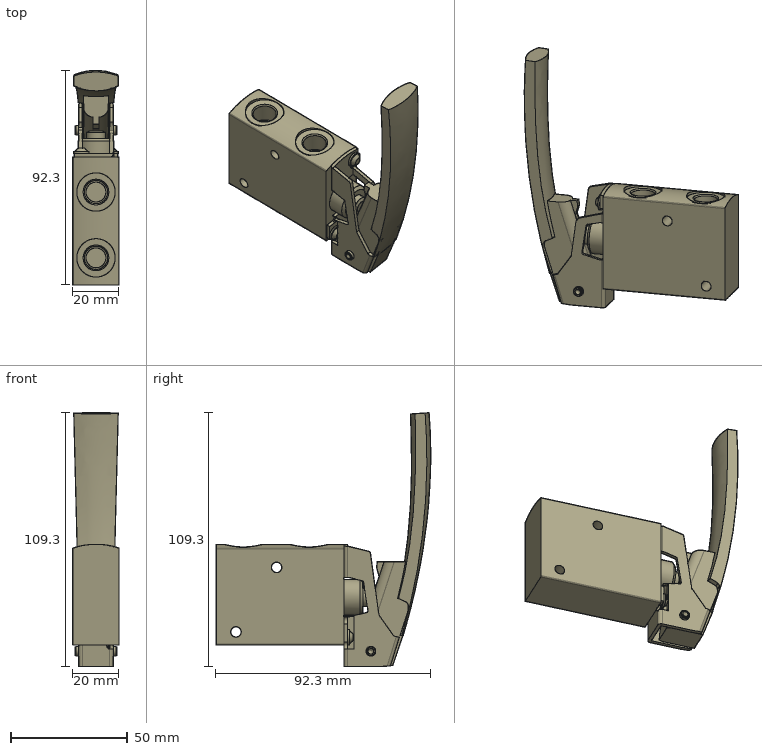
import cadquery as cq

BLOCK_WIDTH = 20.0
BLOCK_LENGTH = 55.0
BLOCK_HEIGHT = 43.4
BLOCK_CROWN = 1.6
BLOCK_EDGE_RADIUS = 0.4
MOUNT_HOLE_DIAMETER = 4.4
MOUNT_HOLE_PLACES = [(-29.0, 33.5), (-46.5, 5.7)]
PORT_PLACES = [-15.0, -43.3]
PORT_MOUTH_DIAMETER = 11.0
PORT_DIAMETER = 10.0
PORT_DEPTH = 8.7
PORT_DRILL_DIAMETER = 8.5
PORT_DRILL_DEPTH = 13.1
SPOTFACE_DIAMETER = 16.5
SPOTFACE_DEPTH = 1.3

PLUNGER_Z = 20.5
BUSH_DIAMETER = 15.5
BUSH_LENGTH = 8.1
BUSH_CHAMFER = 1.2
PLUNGER_DIAMETER = 8.0
PLUNGER_TIP_DIAMETER = 5.1
PLUNGER_TIP_Y = 11.4
PLUNGER_TIP_LENGTH = 0.7

SHEET = 1.5
BRACKET_WIDTH = 14.9
BRACKET_BOTTOM = -9.3
EAR_HALF_WIDTH = 9.4
RELIEF_WIDTH = 3.1
RELIEF_INNER_X = 4.6
UPPER_RELIEF_BOTTOM = 33.0
LOWER_RELIEF_BOTTOM = -1.6
FLANGE_CORNER_RADIUS = 1.3
FLANGE_REAR_RADIUS = 1.3
WINDOW_TOP = 29.1
WINDOW_BOTTOM = 12.2
WINDOW_RADIUS = 0.9
BUSH_CLEARANCE_DIAMETER = 16.5

SCREW_X = 6.3
SCREW_ABOVE_RELIEF = 5.0
SCREW_SHANK_DIAMETER = 3.1
SCREW_FLANGE_DIAMETER = 6.8
SCREW_FLANGE_HEIGHT = 0.9
SCREW_CONE_DIAMETER = 5.7
SCREW_TIP_DIAMETER = 3.0
SCREW_CONE_HEIGHT = 1.5
SCREW_CLEARANCE = 0.4

PIN_Y = 11.6
PIN_Z = -2.6
PIN_DIAMETER = 3.1
PIN_HEAD_DIAMETER = 4.2
PIN_HEAD_HEIGHT = 1.5
PIN_HEAD_CHAMFER = 0.3
PIN_DIMPLE_DIAMETER = 2.4
PIN_DIMPLE_DEPTH = 1.1

LEVER_TOP_REAR_Z = 100.0
LEVER_TOP_FRONT_Z = 99.5
CORE_WIDTH = 10.7
CORE_NOSE_RADIUS = 4.2
CORE_TOP = 36.0
CORE_BOTTOM = -8.9
RIB_WIDTH = 2.7

BLOCK_HALF_WIDTH = BLOCK_WIDTH / 2
BLOCK_SHOULDER = BLOCK_HEIGHT - BLOCK_CROWN
BRACKET_HALF_WIDTH = BRACKET_WIDTH / 2
BRACKET_INNER_HALF = BRACKET_HALF_WIDTH - SHEET
UPPER_RELIEF_TOP = UPPER_RELIEF_BOTTOM + RELIEF_WIDTH
SCREW_PLACES = [
    (-SCREW_X, UPPER_RELIEF_BOTTOM + SCREW_ABOVE_RELIEF),
    (SCREW_X, LOWER_RELIEF_BOTTOM + SCREW_ABOVE_RELIEF),
]
FAR = 218.6


def cylinder_y(x, z, diameter, start_y, end_y):
    """Cylinder along Y between two Y places."""
    base = cq.Workplane("XZ", origin=(x, start_y, z)).circle(diameter / 2)
    return base.extrude(start_y - end_y)


def cylinder_x(y, z, diameter, half_length):
    """Cylinder along X, centred on the plane of symmetry."""
    return cq.Workplane("YZ", origin=(0, y, z)).circle(diameter / 2).extrude(half_length, both=True)


def plate_x(points, start_x, end_x):
    """Side outline in (y, z) extruded between two X places."""
    return cq.Workplane("YZ", origin=(start_x, 0, 0)).polyline(points).close().extrude(end_x - start_x)


def box(start, end):
    """Box between two opposite corners."""
    size = [end[i] - start[i] for i in range(3)]
    return cq.Workplane("XY").box(*size, centered=False).translate(start)


def crowned_bar(start_y, end_y, bottom_z):
    """Bar along Y with the width and the arched top of the valve block."""
    return (
        cq.Workplane("XZ", origin=(0, start_y, 0))
        .moveTo(-BLOCK_HALF_WIDTH, bottom_z)
        .lineTo(BLOCK_HALF_WIDTH, bottom_z)
        .lineTo(BLOCK_HALF_WIDTH, BLOCK_SHOULDER)
        .threePointArc((0, BLOCK_HEIGHT), (-BLOCK_HALF_WIDTH, BLOCK_SHOULDER))
        .close()
        .extrude(start_y - end_y)
    )


def port(y):
    """Round port in the top: flat spotface, chamfered mouth, blind bore and drilled end."""
    floor_z = BLOCK_HEIGHT - SPOTFACE_DEPTH
    mouth_chamfer = (PORT_MOUTH_DIAMETER - PORT_DIAMETER) / 2
    profile = [
        (0, BLOCK_HEIGHT),
        (SPOTFACE_DIAMETER / 2, BLOCK_HEIGHT),
        (SPOTFACE_DIAMETER / 2, floor_z),
        (PORT_MOUTH_DIAMETER / 2, floor_z),
        (PORT_DIAMETER / 2, floor_z - mouth_chamfer),
        (PORT_DIAMETER / 2, floor_z - PORT_DEPTH),
        (PORT_DRILL_DIAMETER / 2, floor_z - PORT_DEPTH),
        (PORT_DRILL_DIAMETER / 2, floor_z - PORT_DRILL_DEPTH),
        (0, floor_z - PORT_DRILL_DEPTH),
    ]
    return cq.Workplane("XZ", origin=(0, y, 0)).polyline(profile).close().revolve(360, (0, 0), (0, 1))


def screw(x, z):
    """Bracket screw: shank through the sheet and a flanged conical head."""
    flange_y = SHEET + SCREW_FLANGE_HEIGHT
    tip_y = flange_y + SCREW_CONE_HEIGHT
    profile = [
        (0, 0),
        (SCREW_SHANK_DIAMETER / 2, 0),
        (SCREW_SHANK_DIAMETER / 2, SHEET),
        (SCREW_FLANGE_DIAMETER / 2, SHEET),
        (SCREW_FLANGE_DIAMETER / 2, flange_y),
        (SCREW_CONE_DIAMETER / 2, flange_y),
        (SCREW_TIP_DIAMETER / 2, tip_y),
        (0, tip_y),
    ]
    turned = cq.Workplane("XY").polyline(profile).close().revolve(360, (0, 0), (0, 1))
    return turned.translate((x, 0, z))


def make_valve_block():
    """Block with its ports, mounting holes, guide bush and the bracket screws."""
    block = crowned_bar(-BLOCK_LENGTH, 0, 0).edges("|Y").fillet(BLOCK_EDGE_RADIUS)
    for y, z in MOUNT_HOLE_PLACES:
        block = block.cut(cylinder_x(y, z, MOUNT_HOLE_DIAMETER, BLOCK_HALF_WIDTH))
    for y in PORT_PLACES:
        block = block.cut(port(y))
    bush = cylinder_y(0, PLUNGER_Z, BUSH_DIAMETER, 0, BUSH_LENGTH).faces(">Y").chamfer(BUSH_CHAMFER)
    block = block.union(bush.cut(cylinder_y(0, PLUNGER_Z, PLUNGER_DIAMETER, 0, BUSH_LENGTH)))
    for x, z in SCREW_PLACES:
        block = block.union(screw(x, z))
    return block


def make_plunger():
    """Round plunger with a tapered tip, seated on the block inside the bush."""
    radius = PLUNGER_DIAMETER / 2
    profile = [
        (0, 0),
        (radius, 0),
        (radius, PLUNGER_TIP_Y - PLUNGER_TIP_LENGTH),
        (PLUNGER_TIP_DIAMETER / 2, PLUNGER_TIP_Y),
        (0, PLUNGER_TIP_Y),
    ]
    turned = cq.Workplane("XY").polyline(profile).close().revolve(360, (0, 0), (0, 1))
    return turned.translate((0, 0, PLUNGER_Z))


def bracket_side():
    """Side shape of the bracket, spanning both flanges."""
    upper_corner = (11.4, 40.2)
    outline = [
        (0, BRACKET_BOTTOM),
        (15.3, BRACKET_BOTTOM),
        (20.0, -9.0),
        (23.8, 3.4),
        (21.4, 3.9),
        (15.1, 12.9),
        (14.6, 15.7),
        upper_corner,
        (SHEET, 42.6),
        (SHEET, BLOCK_HEIGHT),
        (0, BLOCK_HEIGHT),
    ]
    side = plate_x(outline, -EAR_HALF_WIDTH, EAR_HALF_WIDTH)
    corner_edge = cq.selectors.NearestToPointSelector((0, *upper_corner))
    return side.edges(corner_edge).fillet(FLANGE_CORNER_RADIUS)


def bush_window():
    """Opening through both flanges and their bends, beside the bush."""
    window = [
        (-1.1, WINDOW_TOP),
        (2.2, WINDOW_TOP),
        (8.3, 27.5),
        (10.4, 14.2),
        (2.2, WINDOW_BOTTOM),
        (-1.1, WINDOW_BOTTOM),
    ]
    opening = plate_x(window, -EAR_HALF_WIDTH, EAR_HALF_WIDTH)
    for corner in window[2:4]:
        opening = opening.edges(cq.selectors.NearestToPointSelector((0, *corner))).fillet(WINDOW_RADIUS)
    return opening


def round_rear_edges(channel):
    """Round the outer rear edge of each flange."""
    rear_middle = (21.8, -2.7)
    for x in (-BRACKET_HALF_WIDTH, BRACKET_HALF_WIDTH):
        edge = cq.selectors.NearestToPointSelector((x, *rear_middle))
        channel = channel.edges(edge).fillet(FLANGE_REAR_RADIUS)
    return channel


def relief(side, bottom_z):
    """Round-ended slot in the web, open to the outside on one side (-1 or +1)."""
    radius = RELIEF_WIDTH / 2
    center_x = side * (RELIEF_INNER_X + radius)
    center_z = bottom_z + radius
    slot = box(
        (min(center_x, side * FAR), -1.1, bottom_z),
        (max(center_x, side * FAR), SHEET + 1.1, bottom_z + RELIEF_WIDTH),
    )
    return slot.union(cylinder_y(center_x, center_z, RELIEF_WIDTH, -1.1, SHEET + 1.1))


def ear(side, bottom_z, top_z):
    """Flat tab of the web that carries one screw."""
    inner_x = side * RELIEF_INNER_X
    outer_x = side * EAR_HALF_WIDTH
    return box((min(inner_x, outer_x), 0, bottom_z), (max(inner_x, outer_x), SHEET, top_z))


def make_bracket():
    """U-shaped bracket: web on the block, two flanges and two screw ears."""
    depth = 27.3
    channel = box((-BRACKET_HALF_WIDTH, 0, BRACKET_BOTTOM), (BRACKET_HALF_WIDTH, depth, BLOCK_HEIGHT))
    channel = channel.edges("|Z and <Y").fillet(SHEET)
    channel = channel.cut(
        box((-BRACKET_INNER_HALF, SHEET, BRACKET_BOTTOM), (BRACKET_INNER_HALF, depth, BLOCK_HEIGHT))
    )
    channel = channel.intersect(bracket_side())
    channel = round_rear_edges(channel).cut(bush_window())
    channel = channel.cut(cylinder_y(0, PLUNGER_Z, BUSH_CLEARANCE_DIAMETER, 0, SHEET))

    upper_cut = [
        (0, UPPER_RELIEF_BOTTOM),
        (SHEET, UPPER_RELIEF_BOTTOM),
        (11.8, 30.2),
        (13.7, 28.0),
        (15.3, FAR),
        (0, FAR),
    ]
    channel = channel.cut(plate_x(upper_cut, -BRACKET_HALF_WIDTH, -BRACKET_INNER_HALF))

    lower_ear_top = WINDOW_BOTTOM - RELIEF_WIDTH
    head_end = SHEET + SCREW_FLANGE_HEIGHT + SCREW_CONE_HEIGHT + SCREW_CLEARANCE
    channel = channel.cut(
        box(
            (BRACKET_INNER_HALF, 0, LOWER_RELIEF_BOTTOM),
            (BRACKET_HALF_WIDTH, head_end, WINDOW_BOTTOM),
        )
    )

    channel = channel.union(ear(-1, UPPER_RELIEF_TOP, BLOCK_HEIGHT))
    channel = channel.union(ear(1, LOWER_RELIEF_BOTTOM + RELIEF_WIDTH, lower_ear_top))
    channel = channel.cut(relief(-1, UPPER_RELIEF_BOTTOM))
    channel = channel.cut(relief(1, LOWER_RELIEF_BOTTOM))
    channel = channel.cut(relief(1, lower_ear_top))
    channel = channel.intersect(crowned_bar(0, depth, BRACKET_BOTTOM))
    for x, z in SCREW_PLACES:
        channel = channel.cut(cylinder_y(x, z, SCREW_SHANK_DIAMETER, 0, SHEET))
    return channel.cut(cylinder_x(PIN_Y, PIN_Z, PIN_DIAMETER, BRACKET_HALF_WIDTH))


def make_pin():
    """Pivot pin with a chamfered, dimpled head outside each flange."""
    end_x = BRACKET_HALF_WIDTH + PIN_HEAD_HEIGHT
    head_radius = PIN_HEAD_DIAMETER / 2
    half_profile = [
        (PIN_DIAMETER / 2, BRACKET_HALF_WIDTH),
        (head_radius, BRACKET_HALF_WIDTH),
        (head_radius, end_x - PIN_HEAD_CHAMFER),
        (head_radius - PIN_HEAD_CHAMFER, end_x),
        (PIN_DIMPLE_DIAMETER / 2, end_x),
        (0, end_x - PIN_DIMPLE_DEPTH),
    ]
    points = [(x, radius) for radius, x in half_profile]
    points += [(-x, radius) for x, radius in reversed(points)]
    turned = cq.Workplane("XY").polyline(points).close().revolve(360, (0, 0), (1, 0))
    return turned.translate((0, PIN_Y, PIN_Z))


def grip_section(z, rear_y, front_y, half_width, rear_bulge, front_bulge):
    """Lens-shaped level section of the grip: flat sides, arched rear and front."""
    return (
        cq.Workplane("XY", origin=(0, 0, z))
        .moveTo(-half_width, front_y)
        .threePointArc((0, front_y - front_bulge), (half_width, front_y))
        .lineTo(half_width, rear_y)
        .threePointArc((0, rear_y + rear_bulge), (-half_width, rear_y))
        .close()
        .wire()
        .val()
    )


def make_grip():
    """Curved grip that widens upward, cut to a thin rear strip at its lower end."""
    sections = [
        (4.0, 24.8, 18.0, 7.4, 0.7, 0.5),
        (28.4, 30.8, 25.6, 7.9, 0.9, 1.0),
        (65.6, 35.3, 30.4, 8.7, 1.5, 1.6),
        (100.6, 34.9, 30.6, 9.6, 1.7, 2.1),
    ]
    wires = [grip_section(*section) for section in sections]
    grip = cq.Workplane(cq.Solid.makeLoft(wires))
    above_top = [
        (28.4, LEVER_TOP_FRONT_Z),
        (36.7, LEVER_TOP_REAR_Z),
        (43.7, LEVER_TOP_REAR_Z),
        (43.7, FAR),
        (28.4, FAR),
    ]
    grip = grip.cut(plate_x(above_top, -FAR, FAR))
    below_grip = [(10.9, 20.7), (23.4, 20.1), (26.9, 18.5), (27.8, 17.3), (27.7, 15.1), (24.0, 3.9), (10.9, 0)]
    return grip.cut(plate_x(below_grip, -FAR, FAR))


def make_lever():
    """Hand lever: grip, narrower core pivoting between the flanges, and a pressing rib."""
    nose = [(17.3, CORE_TOP), (4.6, -2.6)]
    core_outline = [
        nose[0],
        (27.3, CORE_TOP),
        (27.7, 15.1),
        (25.4, 4.0),
        (21.0, CORE_BOTTOM),
        (4.6, CORE_BOTTOM),
        nose[1],
    ]
    half_width = CORE_WIDTH / 2
    core = plate_x(core_outline, -half_width, half_width)
    nose_middle = ((nose[0][0] + nose[1][0]) / 2, (nose[0][1] + nose[1][1]) / 2)
    nose_face = cq.selectors.NearestToPointSelector((0, *nose_middle))
    core = core.faces(nose_face).edges("not |X").fillet(CORE_NOSE_RADIUS)

    rib_outline = [(19.7, CORE_TOP), (14.3, CORE_TOP), (14.0, 33.5), (15.1, 29.5), (12.2, 21.3), (14.2, 21.3)]
    rib = plate_x(rib_outline, -RIB_WIDTH / 2, RIB_WIDTH / 2)

    lever = make_grip().union(core).union(rib)
    return lever.cut(cylinder_x(PIN_Y, PIN_Z, PIN_DIAMETER, half_width))


valve_block = make_valve_block()
plunger = make_plunger()
bracket = make_bracket()
pin = make_pin()
lever = make_lever()

result = cq.Compound.makeCompound(
    [valve_block.val(), plunger.val(), bracket.val(), pin.val(), lever.val()]
)